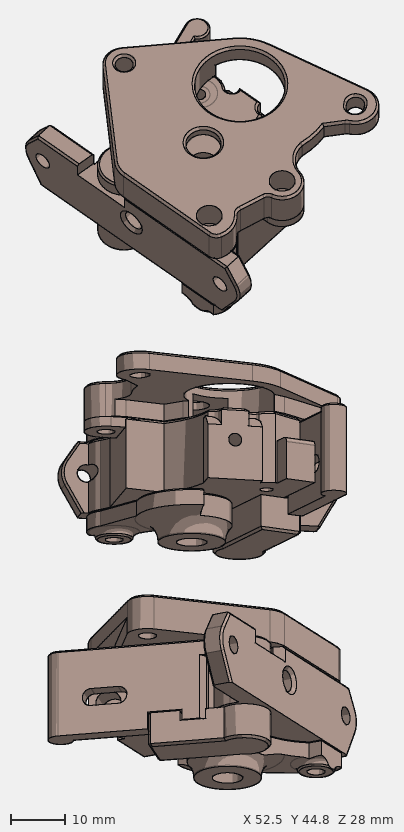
import cadquery as cq
import math

boss_end_z = 0.0
arm_bottom_z = 1.05
base_plate_z = 4.4
housing_bottom_z = 7.55
path_z = 15.1
knuckle_top_z = 18.2
housing_top_z = 21.2
cover_rim_z = 24.4
cover_top_z = 28.0

shaft_center = (4.25, 15.35)
motor_center = (0.4, 30.0)
left_screw = (-18.85, 19.6)
upper_screw = (19.55, 40.4)
middle_screw = (21.05, 18.15)
lower_screw = (16.2, 3.25)
pivot = (-6.8, 5.8)

screw_dia = 3.3
shaft_bore_dia = 5.6
lobe_radius = 4.05
lower_lobe_radius = 5.1
lower_lobe_x = lower_screw[0] + math.sqrt(lower_lobe_radius**2 - lower_screw[1] ** 2)
lower_lobe_end = 48
plate_side_x = 18.25
bay_end = (10.75, 21.25)
edge_chamfer = 0.45
reach = 63.0

lever_tilt = 15.5
lever_face = -3.9
lever_thickness = 3.0
lever_inner = lever_face + lever_thickness
pivot_disc_radius = 4.9
knuckle_radius = 5.6
housing_side = -0.15
slot_z = 11.6


def polar(center, radius, degrees):
    """Point on a circle at an angle measured from +X."""
    angle = math.radians(degrees)
    return (center[0] + radius * math.cos(angle), center[1] + radius * math.sin(angle))


def lever_point(across, along):
    """Plan position of a point given in the lever frame."""
    tilt = math.radians(lever_tilt)
    return (
        pivot[0] + across * math.cos(tilt) - along * math.sin(tilt),
        pivot[1] + across * math.sin(tilt) + along * math.cos(tilt),
    )


def common_normal(center_a, radius_a, center_b, radius_b):
    """Angle of the normal where a line leaves circle A and touches circle B, both on its right."""
    dx = center_b[0] - center_a[0]
    dy = center_b[1] - center_a[1]
    offset = math.asin((radius_a - radius_b) / math.hypot(dx, dy))
    return math.degrees(math.atan2(dy, dx) + math.pi / 2 - offset)


def prism(points, bottom, top):
    return cq.Workplane("XY", origin=(0, 0, bottom)).polyline(points).close().extrude(top - bottom)


def cylinder(center, radius, bottom, top):
    return cq.Workplane("XY", origin=(*center, bottom)).circle(radius).extrude(top - bottom)


def cone(center, bottom_radius, top_radius, bottom, top):
    solid = cq.Solid.makeCone(bottom_radius, top_radius, top - bottom, cq.Vector(*center, bottom))
    return cq.Workplane(solid)


def lever_bar(across_range, along_range, z_range):
    """Box whose sides follow the lever frame."""
    corners = [
        lever_point(across_range[0], along_range[0]),
        lever_point(across_range[1], along_range[0]),
        lever_point(across_range[1], along_range[1]),
        lever_point(across_range[0], along_range[1]),
    ]
    return prism(corners, *z_range)


left_corner_radius = 3.95
front_corner_radius = 4.8
upper_lobe_radius = 4.35
motor_rim_radius = 11.0
front_corner = (-1.95, front_corner_radius)
motor_bore_dia = 16.7
shaft_hole_dia = 6.5
gear_pocket_dia = 16.8
gear_pocket_roof_z = 26.1
screw_head_dia = 4.7
screw_seat_z = 22.6
seat_cone_height = (screw_head_dia - screw_dia) / 2
adjust_slot_travel = 0.65
adjust_slot_angle = -60
neck_top = (21.45, 36.75)
side_top = (18.4, 32.95)
side_middle = (18.6, 30.0)
side_bottom = (plate_side_x, 27.1)
waist_top = (21.6, 15.75)
waist_bottom = (18.6, 5.25)
lobe_fillets = [
    ((21.2, 36.45), 2.1),
    ((plate_side_x, 21.1), 5.0),
    ((21.1, 14.1), 1.3),
    ((19.15, 7.4), 1.6),
    ((lower_lobe_x, 0.0), 2.1),
]
deep_left_y = 22.4
deep_side_y = 22.85
deep_edge = [
    (-21.5, deep_left_y),
    (-9.7, 31.35),
    (-7.35, 32.5),
    (7.9, 24.15),
    bay_end,
    (plate_side_x, deep_side_y),
]


def cover_blank():
    """Plate with rounded left corners, a rim round the motor bore and three screw lobes."""
    front_normal = common_normal(front_corner, front_corner_radius, left_screw, left_corner_radius)
    left_normal = common_normal(left_screw, left_corner_radius, motor_center, motor_rim_radius)
    top_normal = common_normal(motor_center, motor_rim_radius, upper_screw, upper_lobe_radius)
    blank = (
        cq.Workplane("XY", origin=(0, 0, housing_top_z))
        .moveTo(lower_screw[0], 0)
        .lineTo(front_corner[0], 0)
        .threePointArc(
            polar(front_corner, front_corner_radius, (270 + front_normal) / 2),
            polar(front_corner, front_corner_radius, front_normal),
        )
        .lineTo(*polar(left_screw, left_corner_radius, front_normal))
        .threePointArc(
            polar(left_screw, left_corner_radius, (front_normal + left_normal) / 2),
            polar(left_screw, left_corner_radius, left_normal),
        )
        .lineTo(*polar(motor_center, motor_rim_radius, left_normal))
        .threePointArc(
            polar(motor_center, motor_rim_radius, (left_normal + top_normal) / 2),
            polar(motor_center, motor_rim_radius, top_normal),
        )
        .lineTo(*polar(upper_screw, upper_lobe_radius, top_normal))
        .lineTo(*upper_screw)
        .lineTo(*neck_top)
        .lineTo(*side_top)
        .threePointArc(side_middle, side_bottom)
        .lineTo(plate_side_x, middle_screw[1])
        .lineTo(*middle_screw)
        .lineTo(*waist_top)
        .lineTo(*waist_bottom)
        .close()
        .extrude(cover_top_z - housing_top_z)
    )
    for center, radius in (
        (upper_screw, upper_lobe_radius),
        (middle_screw, lobe_radius),
        (lower_screw, lower_lobe_radius),
    ):
        blank = blank.union(cylinder(center, radius, housing_top_z, cover_top_z))
    front_space = [(-reach, 0), (reach, 0), (reach, -reach), (-reach, -reach)]
    blank = blank.cut(prism(front_space, housing_top_z, cover_top_z))
    for corner, radius in lobe_fillets:
        middle = (*corner, (housing_top_z + cover_top_z) / 2)
        blank = blank.edges("|Z").edges(cq.NearestToPointSelector(middle)).fillet(radius)
    return blank.faces(">Z").chamfer(edge_chamfer)


def countersunk_hole(body, center, diameter):
    """Hole through the top plate with a small conical edge."""
    radius = diameter / 2
    hole = cylinder(center, radius, housing_top_z, cover_top_z)
    edge = cone(center, radius, radius + edge_chamfer, cover_top_z - edge_chamfer, cover_top_z)
    return body.cut(hole).cut(edge)


def make_cover():
    body = cover_blank()

    back = deep_edge + [(reach, deep_side_y), (reach, reach), (-reach, reach), (-reach, deep_left_y)]
    body = body.cut(prism(back, housing_top_z, cover_rim_z))

    body = countersunk_hole(body, motor_center, motor_bore_dia)
    body = countersunk_hole(body, shaft_center, shaft_hole_dia)
    body = countersunk_hole(body, left_screw, screw_dia)
    body = body.cut(cylinder(shaft_center, gear_pocket_dia / 2, housing_top_z, gear_pocket_roof_z))

    for center in (middle_screw, lower_screw):
        body = body.cut(cylinder(center, screw_dia / 2, housing_top_z, cover_top_z))
        body = body.cut(cylinder(center, screw_head_dia / 2, screw_seat_z, cover_top_z))
        seat = cone(center, screw_dia / 2, screw_head_dia / 2, screw_seat_z - seat_cone_height, screw_seat_z)
        body = body.cut(seat)

    slot = (
        cq.Workplane("XY", origin=(*upper_screw, housing_top_z))
        .slot2D(screw_dia + adjust_slot_travel, screw_dia, adjust_slot_angle)
        .extrude(cover_top_z - housing_top_z)
    )
    slot_edge = (
        cq.Workplane("XY", origin=(*upper_screw, cover_top_z))
        .slot2D(
            screw_dia + adjust_slot_travel + 2 * edge_chamfer,
            screw_dia + 2 * edge_chamfer,
            adjust_slot_angle,
        )
        .extrude(-edge_chamfer, taper=45)
    )
    return body.cut(slot).cut(slot_edge)


flange_half_length = 26.25
flange_thickness = 4.0
flange_end_radius = 4.55
flange_screw_x = flange_half_length - flange_end_radius
flange_top_half = 23.1
flange_bottom_half = 22.6
flange_screw_depth = 10.5
flange_chamfer = 0.4
core_front_y = 1.05
core_side_y = 8.9
core_lobe_x = lower_screw[0] + math.sqrt(lower_lobe_radius**2 - (lower_screw[1] - core_front_y) ** 2)
ear_bottom_z = 19.35
bridge_inner_x = 15.75
knuckle_left_x = pivot[0] - knuckle_radius
notch_left_x = -13.2
notch_right_x = -1.7
notch_right_back = (-2.55, 2.1)
tab_back_y = 33.3
tab_half_width = 5.15
tab_top_z = 19.95
tab_depth = 10.5
tab_chamfer = 2.1
tab_top_half_width = 2.55
bay_start = (4.65, 31.35)
bay_middle = (6.1, 27.05)
right_scoop = (3.15, 31.75)
left_scoop = (-3.4, 31.2)
scoop_end = (-4.85, 31.65)
shoulder_middle = (-6.3, 32.3)
shoulder_end = (-7.75, 32.5)
core_side_along = 23.6
path_dia = 2.4
path_entry_dia = 4.0
path_entry_depth = 3.15
path_step_dia = 3.0
path_step_depth = 6.3
path_edge_dia = 5.35
guide_hole = (-7.25, 27.3)
guide_hole_dia = 2.4
guide_recess_dia = 6.8
guide_seat_dia = 4.0
guide_recess_depth = 0.4
seat_across = (housing_side, 5.8)
seat_along = (21.0, 29.5)
seat_height = 8.1
seat_fillet = 1.0
spring_bore_dia = 4.7
spring_bore_depth = 4.7
spring_along = 25.7


def tangent_angle(corner, center, radius, side):
    """Angle, from the circle's center, of the tangent point of a line drawn from a corner."""
    dx = corner[0] - center[0]
    dy = corner[1] - center[1]
    return math.degrees(math.atan2(dy, dx) + side * math.acos(radius / math.hypot(dx, dy)))


def make_flange():
    end = (flange_screw_x, path_z)
    upper_angle = tangent_angle((flange_top_half, housing_top_z), end, flange_end_radius, -1)
    lower_angle = tangent_angle((flange_bottom_half, housing_bottom_z), end, flange_end_radius, 1)
    flange = (
        cq.Workplane("XZ")
        .moveTo(0, housing_top_z)
        .lineTo(flange_top_half, housing_top_z)
        .lineTo(*polar(end, flange_end_radius, upper_angle))
        .threePointArc((flange_half_length, path_z), polar(end, flange_end_radius, lower_angle))
        .lineTo(flange_bottom_half, housing_bottom_z)
        .lineTo(0, housing_bottom_z)
        .close()
        .extrude(-flange_thickness)
    )
    flange = flange.union(flange.mirror("YZ"))
    return flange.faces("<Y or >Y").edges("not(<Z)").chamfer(flange_chamfer)


def make_core():
    """Block between the flange and the back tab, with scooped corners above the tab."""
    core = (
        cq.Workplane("XY", origin=(0, 0, housing_bottom_z))
        .moveTo(pivot[0], core_front_y)
        .lineTo(core_lobe_x, core_front_y)
        .threePointArc(
            polar(lower_screw, lower_lobe_radius, 0),
            polar(lower_screw, lower_lobe_radius, lower_lobe_end),
        )
        .lineTo(plate_side_x, core_side_y)
        .lineTo(plate_side_x, deep_side_y)
        .lineTo(*bay_end)
        .threePointArc(bay_middle, bay_start)
        .threePointArc(right_scoop, (tab_top_half_width, tab_back_y))
        .lineTo(-tab_top_half_width, tab_back_y)
        .threePointArc(left_scoop, scoop_end)
        .threePointArc(shoulder_middle, shoulder_end)
        .lineTo(*lever_point(housing_side, core_side_along))
        .lineTo(*lever_point(housing_side, 0.0))
        .close()
        .extrude(housing_top_z - housing_bottom_z)
        .faces(">Z")
        .edges()
        .chamfer(edge_chamfer)
    )
    tab = (
        cq.Workplane("XY")
        .box(2 * tab_half_width, tab_depth, tab_top_z - housing_bottom_z, centered=(True, False, False))
        .translate((0, tab_back_y - tab_depth, housing_bottom_z))
        .faces(">Z")
        .edges(">Y")
        .chamfer(tab_chamfer)
    )
    return core.union(tab)


def make_spring_seat():
    z_range = (slot_z - seat_height / 2, slot_z + seat_height / 2)
    seat = lever_bar(seat_across, seat_along, z_range)
    return seat.faces(">Z").edges(">Y").fillet(seat_fillet)


def spring_bore():
    mouth = lever_point(housing_side, spring_along)
    tilt = math.radians(lever_tilt)
    direction = cq.Vector(math.cos(tilt), math.sin(tilt), 0)
    start = cq.Vector(*mouth, slot_z)
    return cq.Workplane(cq.Solid.makeCylinder(spring_bore_dia / 2, spring_bore_depth, start, direction))


def front_bore(x, diameter, depth):
    """Round hole at the path height, running back from the front face."""
    return cq.Workplane("XZ", origin=(x, 0, path_z)).circle(diameter / 2).extrude(-depth)


def make_housing():
    body = make_core().union(make_flange())
    body = body.union(cylinder(pivot, knuckle_radius, housing_bottom_z, knuckle_top_z))
    cheek = [(knuckle_left_x, 0), (pivot[0], 0), pivot, (knuckle_left_x, pivot[1])]
    body = body.union(prism(cheek, housing_bottom_z, knuckle_top_z))
    body = body.union(make_spring_seat())

    ear = cylinder(middle_screw, lobe_radius, ear_bottom_z, housing_top_z)
    bridge_front = middle_screw[1] - lobe_radius
    bridge_back = middle_screw[1] + lobe_radius
    bridge_outline = [
        (bridge_inner_x, bridge_front),
        (middle_screw[0], bridge_front),
        (middle_screw[0], bridge_back),
        (bridge_inner_x, bridge_back),
    ]
    bridge = prism(bridge_outline, ear_bottom_z, housing_top_z)
    body = body.union(ear).union(bridge)

    body = body.cut(cylinder(pivot, knuckle_radius, knuckle_top_z, housing_top_z))
    notch = [(notch_left_x, 0), (notch_right_x, 0), notch_right_back, pivot, (knuckle_left_x, pivot[1])]
    body = body.cut(prism(notch, knuckle_top_z, housing_top_z))

    for x in (-flange_screw_x, flange_screw_x):
        body = body.cut(front_bore(x, screw_dia, flange_screw_depth))

    body = body.cut(cylinder(shaft_center, shaft_bore_dia / 2, housing_bottom_z, housing_top_z))
    for center in (middle_screw, lower_screw):
        body = body.cut(cylinder(center, screw_dia / 2, housing_bottom_z, housing_top_z))
    body = body.cut(cylinder(guide_hole, guide_hole_dia / 2, housing_bottom_z, housing_top_z))
    recess_floor_z = housing_top_z - guide_recess_depth
    recess = cone(guide_hole, guide_seat_dia / 2, guide_recess_dia / 2, recess_floor_z, housing_top_z)
    body = body.cut(recess)

    body = body.cut(front_bore(0, path_dia, tab_back_y))
    body = body.cut(front_bore(0, path_step_dia, path_step_depth))
    body = body.cut(front_bore(0, path_entry_dia, path_entry_depth))
    entry_edge = cq.Solid.makeCone(
        path_edge_dia / 2,
        path_entry_dia / 2,
        (path_edge_dia - path_entry_dia) / 2,
        cq.Vector(0, 0, path_z),
        cq.Vector(0, 1, 0),
    )
    return body.cut(cq.Workplane(entry_edge)).cut(spring_bore())


lever_bottom_z = 4.45
lever_heel_z = 7.75
tongue_z = 5.8
bulb_radius = 2.35
bulb_along = 34.4
lever_end = 6.55
lever_end_chamfer = 1.05
tongue_end = 10.9
lever_step = 17.5
slot_along = 25.55
slot_length = 8.4
slot_width = 3.3
lever_chamfer = 0.35


def make_lever():
    bulb_center = lever_point(lever_face + bulb_radius, bulb_along)
    blade_across = (lever_face, lever_inner)
    blade = lever_bar(blade_across, (lever_end, bulb_along), (lever_bottom_z, housing_top_z))
    blade = blade.union(cylinder(bulb_center, bulb_radius, lever_bottom_z, housing_top_z))

    bevel = [
        lever_point(lever_face, lever_end),
        lever_point(lever_face + lever_end_chamfer, lever_end),
        lever_point(lever_face, lever_end + lever_end_chamfer),
    ]
    blade = blade.cut(prism(bevel, lever_bottom_z, knuckle_top_z))

    blade = blade.cut(lever_bar(blade_across, (lever_end, tongue_end), (lever_bottom_z, tongue_z)))
    blade = blade.cut(lever_bar(blade_across, (tongue_end, lever_step), (lever_bottom_z, lever_heel_z)))

    leaf = lever_bar(blade_across, (0, lever_end), (knuckle_top_z, housing_top_z))
    disc = cylinder(pivot, pivot_disc_radius, knuckle_top_z, housing_top_z)
    lever = blade.union(leaf).union(disc).faces(">Z").chamfer(lever_chamfer)

    slot = (
        cq.Workplane("YZ")
        .slot2D(slot_length, slot_width)
        .extrude(lever_thickness)
        .rotate((0, 0, 0), (0, 0, 1), lever_tilt)
        .translate((*lever_point(lever_face, slot_along), slot_z))
    )
    return lever.cut(slot)


arm_inner = 4.6
arm_end = 17.3
arm_chamfer = 0.45
arm_clearance = 0.15
pocket_along = (6.45, 11.35)
pocket_floor_z = 5.6


def make_arm():
    z_range = (arm_bottom_z, housing_bottom_z)
    arm = lever_bar((lever_face, arm_inner), (0, arm_end), z_range)
    outer_corner = (*lever_point(lever_face, arm_end), housing_bottom_z)
    arm = arm.edges("|Z").edges(cq.NearestToPointSelector(outer_corner)).chamfer(arm_chamfer)
    arm = arm.union(cylinder(pivot, pivot_disc_radius, *z_range))
    arm = arm.faces("<Z").chamfer(arm_chamfer)
    pocket_across = (lever_face, lever_inner + arm_clearance)
    pocket = lever_bar(pocket_across, pocket_along, (pocket_floor_z, housing_bottom_z))
    return arm.cut(pocket)


boss_radius = 6.25
flare_radius = 4.2
plate_radius = boss_radius + flare_radius
skirt_radius = 7.45
base_chamfer = 0.3
ear_end_z = 2.95
ear_boss_radius = 3.45
ear_flare_radius = 1.25
ear_left_x = 12.35
ear_side_depth = 2.6
front_bay_angle = 263


def flared_boss(center, radius, flare, end_z):
    """Round boss that widens into the base plate through a concave fillet."""
    return (
        cq.Workplane("XZ", origin=(*center, 0))
        .moveTo(0, end_z)
        .lineTo(radius, end_z)
        .lineTo(radius, base_plate_z - flare)
        .radiusArc((radius + flare, base_plate_z), flare)
        .lineTo(radius + flare, housing_bottom_z)
        .lineTo(0, housing_bottom_z)
        .close()
        .revolve(360, (0, 0, 0), (0, 1, 0))
    )


def base_outline(bottom):
    """Base plan: a round skirt on the left, a bay at the front and the screw ear on the right."""
    return (
        cq.Workplane("XY", origin=(0, 0, bottom))
        .moveTo(shaft_center[0], shaft_center[1] + plate_radius)
        .lineTo(*polar(shaft_center, skirt_radius, 90))
        .threePointArc(
            polar(shaft_center, skirt_radius, 180),
            polar(shaft_center, skirt_radius, front_bay_angle),
        )
        .tangentArcPoint((ear_left_x, ear_side_depth), relative=False)
        .lineTo(ear_left_x, 0)
        .lineTo(lower_lobe_x, 0)
        .threePointArc(
            polar(lower_screw, lower_lobe_radius, 0),
            polar(lower_screw, lower_lobe_radius, lower_lobe_end),
        )
        .lineTo(*polar(shaft_center, plate_radius, 0))
        .threePointArc(
            polar(shaft_center, plate_radius, 45),
            polar(shaft_center, plate_radius, 90),
        )
        .close()
        .extrude(housing_bottom_z - bottom)
        .faces(">Z")
        .chamfer(base_chamfer)
    )


def make_base():
    main_boss = flared_boss(shaft_center, boss_radius, flare_radius, boss_end_z)
    ear_boss = flared_boss(lower_screw, ear_boss_radius, ear_flare_radius, ear_end_z)
    ear_boss = ear_boss.faces("<Z").chamfer(base_chamfer)
    bosses = base_outline(boss_end_z).intersect(main_boss.union(ear_boss))
    body = base_outline(base_plate_z).union(bosses)
    body = body.cut(cylinder(lower_screw, screw_dia / 2, boss_end_z, housing_bottom_z))
    return body.cut(cylinder(shaft_center, shaft_bore_dia / 2, boss_end_z, housing_bottom_z))


cover = make_cover().solids()
housing = make_housing().solids()
lever = make_lever().solids()
arm = make_arm().solids()
base = make_base().solids()

result = cq.Compound.makeCompound([cover.val(), housing.val(), lever.val(), arm.val(), base.val()])